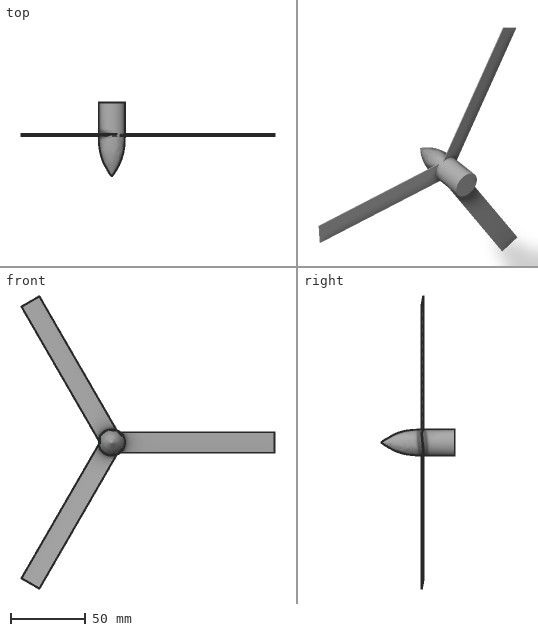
import cadquery as cq
import math


outer_height = 197.5
blade_count = 3
blade_width = 14.0
blade_thickness = 0.5
blade_pitch = 5.0
hub_diameter = 18.0
hub_length = 22.0
nose_length = 28.0
nose_fullness = 0.82
nose_tip_steepness = 2.5

hub_radius = hub_diameter / 2
blade_spacing = 360.0 / blade_count
blade_lean = math.radians(blade_spacing - 90.0)
blade_length = (outer_height / 2 - blade_width / 2 * math.sin(blade_lean)) / math.cos(blade_lean)
blade_chord = blade_width / math.cos(math.radians(blade_pitch))


def make_hub_and_nose():
    """Cylindrical hub and pointed, curved nose, revolved as one body about Y."""
    nose_middle = (nose_fullness * hub_radius, -nose_length / 2)
    nose_tip = (0, -nose_length)
    base_direction = (0, -1)
    tip_direction = (-nose_tip_steepness * hub_radius, -nose_length)
    profile = (
        cq.Workplane("XY")
        .moveTo(0, hub_length)
        .lineTo(hub_radius, hub_length)
        .lineTo(hub_radius, 0)
        .spline([nose_middle, nose_tip], tangents=[base_direction, tip_direction], includeCurrent=True)
        .close()
    )
    return profile.revolve(360, (0, 0, 0), (0, 1, 0))


def make_blade(angle):
    """Flat pitched blade running from the axis outward, turned about Y by the angle in degrees."""
    blade = (
        cq.Workplane("YZ")
        .rect(blade_thickness, blade_chord)
        .extrude(blade_length)
        .rotate((0, 0, 0), (1, 0, 0), blade_pitch)
    )
    return blade.rotate((0, 0, 0), (0, 1, 0), angle)


result = make_hub_and_nose()
for blade_index in range(blade_count):
    result = result.union(make_blade(blade_index * blade_spacing))